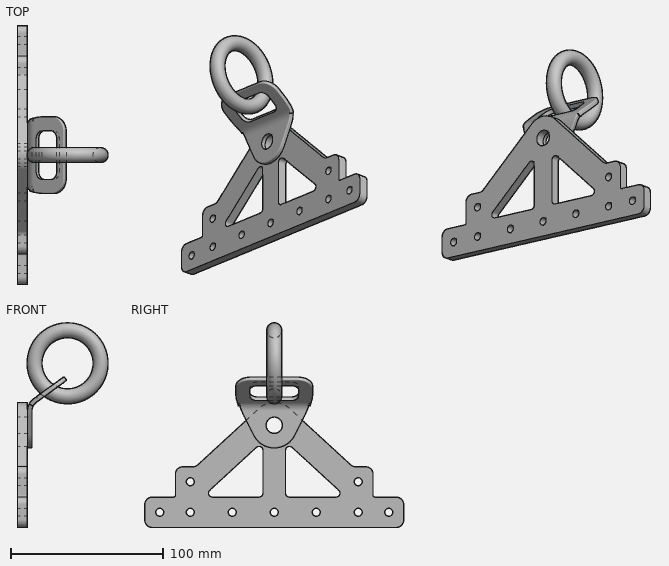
import cadquery as cq
import math

plate_length = 170.0
plate_thickness = 6.6
bar_height = 20.0
tab_half_width = 65.0
tab_height = 40.0
outer_corner_radius = 5.0
step_fillet = 1.0
tab_fillet = 5.0

eye_height = 67.2
eye_diameter = 10.5
top_radius = 15.0
arm_slope = 42.6
arm_inset = 0.08
arm_offset = top_radius - arm_inset
top_blend_radius = 10.0

post_half_width = 7.5
arm_width = 17.7
window_fillet = 2.5

small_hole_diameter = 5.1
bar_hole_height = bar_height / 2
bar_hole_places = [0.0, 27.5, 55.0, 75.1]
tab_hole_place = (55.0, 30.1)

sheet_thickness = 3.0
bend_angle = 54.0
bend_outer_radius = 10.0
bend_inner_radius = bend_outer_radius - sheet_thickness
bend_start_height = 76.5
leg_length = 24.6
base_radius = 15.0
head_half_width = 25.3
neck_taper = 27.0
neck_blend_radius = 50.0
head_corner_radius = 10.0
edge_rounding = 0.7

fold_reach = bend_outer_radius * math.tan(math.radians(bend_angle / 2))
fold_height = bend_start_height + fold_reach
head_height = fold_height + fold_reach + leg_length

slot_length = 32.0
slot_width = 16.5
slot_corner_radius = 5.0
slot_start = 2.0

ring_outer_radius = 26.7
ring_wire_diameter = 10.0
ring_center_x = 33.0
ring_center_z = 107.8


def sin(angle):
    return math.sin(math.radians(angle))


def cos(angle):
    return math.cos(math.radians(angle))


def tan(angle):
    return math.tan(math.radians(angle))


def arm_edge_height(y, offset):
    """Height at y of the line along the right arm at this distance from the eye centre."""
    return eye_height + offset / cos(arm_slope) - y * tan(arm_slope)


def arm_edge_place(z, offset):
    """Inverse of arm_edge_height: the y at which the line has height z."""
    return (eye_height + offset / cos(arm_slope) - z) / tan(arm_slope)


def edges_at(body, places):
    """Edges along X that pass through the given (y, z) places and their mirror images."""
    picked = body.newObject([])
    for y, z in places:
        for side in (-1, 1):
            corner = cq.selectors.NearestToPointSelector((plate_thickness / 2, side * y, z))
            picked = picked.add(body.edges(corner))
    return picked


def plate_window():
    """Right-hand triangular window."""
    window_edge = arm_offset - arm_width
    return (
        cq.Workplane("YZ")
        .moveTo(post_half_width, bar_height)
        .lineTo(arm_edge_place(bar_height, window_edge), bar_height)
        .lineTo(post_half_width, arm_edge_height(post_half_width, window_edge))
        .close()
        .extrude(plate_thickness)
        .edges("|X")
        .fillet(window_fillet)
    )


def make_plate():
    half_length = plate_length / 2
    arm_foot = arm_edge_place(tab_height, arm_offset)
    meet_angle = arm_slope - math.degrees(math.acos(arm_offset / top_radius))
    arc_y = top_radius * sin(meet_angle)
    arc_z = eye_height + top_radius * cos(meet_angle)

    body = (
        cq.Workplane("YZ")
        .moveTo(-half_length, 0)
        .lineTo(half_length, 0)
        .lineTo(half_length, bar_height)
        .lineTo(tab_half_width, bar_height)
        .lineTo(tab_half_width, tab_height)
        .lineTo(arm_foot, tab_height)
        .lineTo(arc_y, arc_z)
        .threePointArc((0, eye_height + top_radius), (-arc_y, arc_z))
        .lineTo(-arm_foot, tab_height)
        .lineTo(-tab_half_width, tab_height)
        .lineTo(-tab_half_width, bar_height)
        .lineTo(-half_length, bar_height)
        .close()
        .extrude(plate_thickness)
    )
    outer_corners = [(half_length, 0), (half_length, bar_height), (tab_half_width, tab_height)]
    body = edges_at(body, outer_corners).fillet(outer_corner_radius)
    body = edges_at(body, [(tab_half_width, bar_height)]).fillet(step_fillet)
    body = edges_at(body, [(arm_foot, tab_height)]).fillet(tab_fillet)
    body = edges_at(body, [(arc_y, arc_z)]).fillet(top_blend_radius)

    window = plate_window()
    body = body.cut(window).cut(window.mirror("XZ"))

    hole_places = [(y, bar_hole_height) for y in bar_hole_places] + [tab_hole_place]
    hole_places += [(-y, z) for y, z in hole_places if y > 0]
    small_holes = (
        cq.Workplane("YZ").pushPoints(hole_places).circle(small_hole_diameter / 2).extrude(plate_thickness)
    )
    return body.cut(small_holes).cut(eye_hole())


def eye_hole():
    """Bore along X shared by the plate and the bracket."""
    return (
        cq.Workplane("YZ")
        .center(0, eye_height)
        .circle(eye_diameter / 2)
        .extrude(plate_thickness + sheet_thickness)
    )


def fold_up(body):
    """Turn a body from the vertical leg's plane into the inclined leg's plane."""
    return body.rotate((plate_thickness, 0, fold_height), (plate_thickness, 1, fold_height), bend_angle)


def bracket_blank():
    """Unfolded outline of the bracket, standing on the plate and thick enough to cover the bend."""
    tangent_y = base_radius * cos(neck_taper)
    tangent_z = eye_height - base_radius * sin(neck_taper)
    shoulder_z = tangent_z + (head_half_width - tangent_y) / tan(neck_taper)
    cover = 2 * bend_outer_radius
    blank = (
        cq.Workplane("YZ", origin=(plate_thickness - cover, 0, 0))
        .moveTo(tangent_y, tangent_z)
        .lineTo(head_half_width, shoulder_z)
        .lineTo(head_half_width, head_height)
        .lineTo(-head_half_width, head_height)
        .lineTo(-head_half_width, shoulder_z)
        .lineTo(-tangent_y, tangent_z)
        .threePointArc((0, eye_height - base_radius), (tangent_y, tangent_z))
        .close()
        .extrude(2 * cover)
    )
    blank = edges_at(blank, [(head_half_width, shoulder_z)]).fillet(neck_blend_radius)
    return edges_at(blank, [(head_half_width, head_height)]).fillet(head_corner_radius)


def bend_point(radius, angle):
    """X and Z on the bend at this radius, at this angle past the start of the bend."""
    bend_center_x = plate_thickness + bend_outer_radius
    return (bend_center_x - radius * cos(angle), bend_start_height + radius * sin(angle))


def leg_point(radius, distance):
    """X and Z on the inclined leg, on the skin that bends at this radius, this far past the bend."""
    x, z = bend_point(radius, bend_angle)
    return (x + distance * sin(bend_angle), z + distance * cos(bend_angle))


def bent_sheet():
    """Strip of sheet with its bend, wider than the bracket's head."""
    half_bend = bend_angle / 2
    base_z = eye_height - base_radius
    return (
        cq.Workplane("XZ")
        .moveTo(plate_thickness, base_z)
        .lineTo(plate_thickness, bend_start_height)
        .threePointArc(bend_point(bend_outer_radius, half_bend), bend_point(bend_outer_radius, bend_angle))
        .lineTo(*leg_point(bend_outer_radius, leg_length))
        .lineTo(*leg_point(bend_inner_radius, leg_length))
        .lineTo(*bend_point(bend_inner_radius, bend_angle))
        .threePointArc(bend_point(bend_inner_radius, half_bend), bend_point(bend_inner_radius, 0))
        .lineTo(plate_thickness + sheet_thickness, base_z)
        .close()
        .extrude(2 * head_half_width, both=True)
    )


def make_bracket():
    space = 4 * head_height
    below_fold = (
        cq.Workplane("XY")
        .box(space, space, space, centered=(True, True, False))
        .translate((0, 0, -space))
        .rotate((0, 0, 0), (0, 1, 0), bend_angle / 2)
        .translate((plate_thickness, 0, fold_height))
    )
    sheet = bent_sheet()
    blank = bracket_blank()
    lower = sheet.intersect(below_fold).intersect(blank)
    upper = sheet.cut(below_fold).intersect(fold_up(blank))
    body = round_outline(lower.union(upper))

    slot_center_z = fold_height + fold_reach + slot_start + slot_width / 2
    slot = (
        cq.Workplane("YZ", origin=(plate_thickness, 0, slot_center_z))
        .rect(slot_length, slot_width)
        .extrude(sheet_thickness)
        .edges("|X")
        .fillet(slot_corner_radius)
    )
    return body.cut(fold_up(slot)).cut(eye_hole())


def round_outline(body):
    """Round the outline of both skins of the sheet, leaving the bend lines as they are."""
    for radius in (bend_outer_radius, bend_inner_radius):
        on_base = (plate_thickness + bend_outer_radius - radius, eye_height)
        on_bend = bend_point(radius, bend_angle / 2)
        on_leg = leg_point(radius, leg_length / 2)
        places = [(x, 0, z) for x, z in (on_base, on_bend, on_leg)]
        skin = [body.faces(cq.selectors.NearestToPointSelector(p)).val() for p in places]
        edges = [edge for face in skin for edge in face.Edges()]
        outline = [edge for edge in edges if sum(edge.isSame(other) for other in edges) == 1]
        body = body.newObject(outline).fillet(edge_rounding)
    return body


def make_ring():
    wire_radius = ring_wire_diameter / 2
    center = cq.Vector(ring_center_x, 0, ring_center_z)
    axis = cq.Vector(0, 1, 0)
    return cq.Workplane(cq.Solid.makeTorus(ring_outer_radius - wire_radius, wire_radius, center, axis))


plate = make_plate()
bracket = make_bracket()
ring = make_ring()

result = cq.Compound.makeCompound([plate.solids().val(), bracket.solids().val(), ring.val()])